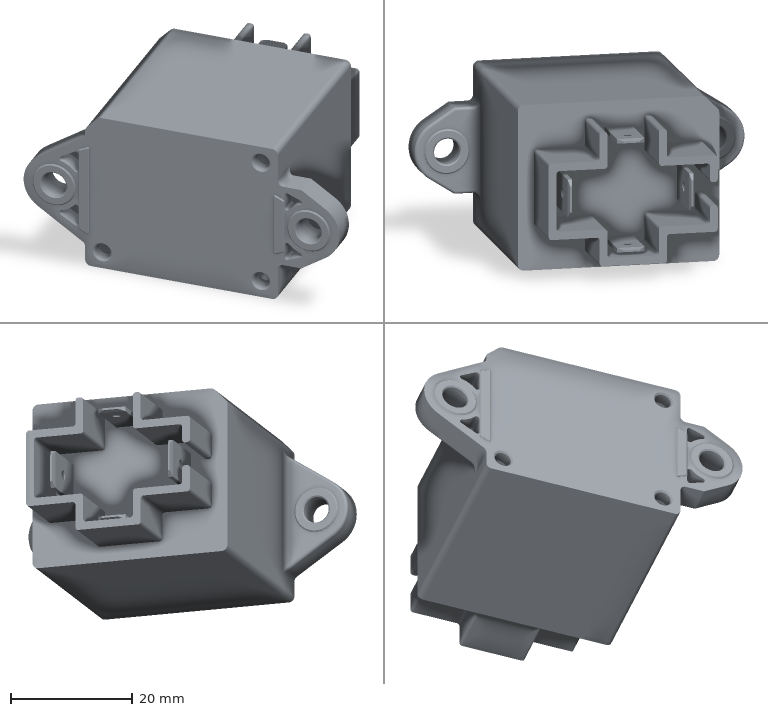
import cadquery as cq
import math


length = 55.8
depth = 44.7
plug_end_y = depth / 2
sleeve_front_y = -depth / 2
front_projection = 0.2
front_y = sleeve_front_y + front_projection
case_back_y = 11.4

case_width = 34.05
case_height = 28.0
corner_radius = 1.0
key_chamfer = 2.5
half_width = case_width / 2
half_height = case_height / 2
pick_margin = 0.1

hole_spacing = 45.0
ear_x = hole_spacing / 2
ear_radius = length / 2 - ear_x
ear_thickness = 4.75
ear_back_y = front_y + ear_thickness
ear_slope = math.radians(33)
ear_half_height_right = 7.3
ear_embed = 1.1
ear_edge_radius = 0.5
ear_root_radius = 1.0

pocket_depth = 3.05
pocket_corner_radius = 0.45
pocket_arc_radius = 4.75
left_pocket_root_z = 7.25
right_pocket_root_z = 6.4

pad_outer_x = 18.2
pad_inner_x = 16.3
pad_edge_chamfer = 0.15
pad_corner_radius = 0.3
left_pad_half_heights = (7.35, 8.25)
right_pad_half_heights = (4.8, 5.65)

front_hole_x = 14.0
front_hole_z = 11.05
front_hole_radius = 1.4
front_hole_depth = 2.25
front_hole_chamfer = 0.3
vent_radius = 0.9
vent_tip_radius = 0.6
vent_depth = 1.1

sleeve_radius = 3.8
sleeve_bore_radius = 2.2
sleeve_length = 5.25
sleeve_chamfer = 0.2

base_width = 30.15
base_height = 24.0
base_thickness = 2.0
wall = 1.35
shroud_half_width = 14.3
shroud_half_height = 11.3
side_slot_half = 1.95
upright_x = 5.7
shelf_z = 6.5
shroud_edge_radius = 0.5

blade_thickness = 0.8
blade_tip_y = 21.35
blade_tip_chamfer = 0.95
blade_tip_bevel = 0.2
side_blade_width = 6.3
side_blade_face_x = 10.65
side_blade_hole_radius = 0.85
side_blade_hole_y = 16.4
cross_blade_width = 4.7
cross_blade_face_z = 9.6
cross_blade_hole_radius = 0.65
cross_blade_hole_y = 18.1


def plane_at(y):
    """Workplane in XZ at the given Y; positive extrusions run toward -Y."""
    return cq.Workplane("XZ", origin=(0, y, 0))


def prism(points, y_back, length_y):
    """Polygon in XZ extruded from y_back toward -Y."""
    return plane_at(y_back).polyline(points).close().extrude(length_y)


def box_along_y(width, height, y_back, length_y):
    """Box centred on the Y axis, extruded from y_back toward -Y."""
    return plane_at(y_back).rect(width, height).extrude(length_y)


def case_block():
    """Rounded block with one keyed corner."""
    block = box_along_y(case_width, case_height, case_back_y, case_back_y - front_y)
    block = block.edges("|Y and <X and >Z").chamfer(key_chamfer)
    return block.edges("|Y").fillet(corner_radius)


def ear(side):
    """Ear with a round end and sides that widen toward the case; side is -1 (left) or +1 (right)."""
    tangent_x = ear_x + ear_radius * math.sin(ear_slope)
    tangent_z = ear_radius * math.cos(ear_slope)
    inner_x = half_width - ear_embed
    inner_z = tangent_z + (tangent_x - inner_x) * math.tan(ear_slope)
    return (
        plane_at(ear_back_y)
        .moveTo(side * inner_x, inner_z)
        .lineTo(side * tangent_x, tangent_z)
        .threePointArc((side * length / 2, 0), (side * tangent_x, -tangent_z))
        .lineTo(side * inner_x, -inner_z)
        .close()
        .extrude(ear_back_y - front_y)
    )


def ear_pocket(side, flip, root_z):
    """Three-sided pocket between the sleeve and the sloping ear edge; flip is +1 above, -1 below."""
    root_u = ear_x - pad_outer_x
    mid_angle = (math.pi / 2 + math.acos(root_u / pocket_arc_radius)) / 2
    arc_mid = (ear_x - pocket_arc_radius * math.cos(mid_angle), pocket_arc_radius * math.sin(mid_angle))
    arc_end = (pad_outer_x, math.sqrt(pocket_arc_radius**2 - root_u**2))
    return (
        plane_at(front_y + pocket_depth)
        .moveTo(side * pad_outer_x, flip * root_z)
        .lineTo(side * ear_x, flip * pocket_arc_radius)
        .threePointArc((side * arc_mid[0], flip * arc_mid[1]), (side * arc_end[0], flip * arc_end[1]))
        .close()
        .extrude(pocket_depth)
        .edges("|Y")
        .fillet(pocket_corner_radius)
    )


def front_pad(side, half_heights):
    """Thin raised pad across the root of an ear, longer on its inner side."""
    outer_z, inner_z = half_heights
    corners = [
        (side * pad_outer_x, outer_z),
        (side * pad_inner_x, inner_z),
        (side * pad_inner_x, -inner_z),
        (side * pad_outer_x, -outer_z),
    ]
    pad = prism(corners, front_y, front_projection)
    pad = pad.edges("|Y").fillet(pad_corner_radius)
    return pad.faces("<Y").edges().chamfer(pad_edge_chamfer)


def front_hole(x, z):
    """Blind hole in the front face with a chamfered mouth."""
    hole = plane_at(front_y + front_hole_depth).center(x, z).circle(front_hole_radius).extrude(front_hole_depth)
    mouth = cq.Solid.makeCone(
        front_hole_radius + front_hole_chamfer,
        front_hole_radius,
        front_hole_chamfer,
        cq.Vector(x, front_y, z),
        cq.Vector(0, 1, 0),
    )
    return hole.union(cq.Workplane(mouth))


def add_ear(case, one_ear, side):
    """Join an ear to the case, then round its root and its back rim."""
    case = case.union(one_ear)
    root_zone = cq.selectors.BoxSelector(
        (side * (half_width - pick_margin), front_y + pick_margin, -half_height + corner_radius),
        (side * (half_width + pick_margin), ear_back_y + pick_margin, half_height - key_chamfer),
    )
    case = case.edges(root_zone).fillet(ear_root_radius)
    rim_zone = cq.selectors.BoxSelector(
        (side * (half_width + ear_root_radius + pick_margin), ear_back_y - pick_margin, -half_height),
        (side * length, ear_back_y + pick_margin, half_height),
    )
    return case.edges(rim_zone).fillet(ear_edge_radius)


def vent_cone():
    """Tapered vent in the floor of the front hole at +X, -Z."""
    floor_centre = cq.Vector(front_hole_x, front_y + front_hole_depth, -front_hole_z)
    cone = cq.Solid.makeCone(vent_radius, vent_tip_radius, vent_depth, floor_centre, cq.Vector(0, 1, 0))
    return cq.Workplane(cone)


def make_case():
    right_trim = box_along_y(length, 2 * ear_half_height_right, ear_back_y, ear_back_y - front_y)
    case = add_ear(case_block(), ear(-1), -1)
    case = add_ear(case, ear(1).intersect(right_trim), 1)

    case = case.union(front_pad(-1, left_pad_half_heights))
    case = case.union(front_pad(1, right_pad_half_heights))
    for flip in (-1, 1):
        case = case.cut(ear_pocket(-1, flip, left_pocket_root_z))
        case = case.cut(ear_pocket(1, flip, right_pocket_root_z))

    for x, z in ((-1, -1), (1, 1), (1, -1)):
        case = case.cut(front_hole(x * front_hole_x, z * front_hole_z))
    case = case.cut(vent_cone())

    sleeve_seats = (
        plane_at(ear_back_y)
        .pushPoints([(-ear_x, 0), (ear_x, 0)])
        .circle(sleeve_radius)
        .extrude(ear_thickness)
    )
    base_recess = box_along_y(base_width, base_height, case_back_y, base_thickness)
    return case.cut(sleeve_seats).cut(base_recess)


def make_sleeve(x):
    """Spacer tube for the mounting screw."""
    sleeve = (
        plane_at(sleeve_front_y + sleeve_length)
        .center(x, 0)
        .circle(sleeve_radius)
        .circle(sleeve_bore_radius)
        .extrude(sleeve_length)
    )
    return sleeve.faces("<Y or >Y").edges().chamfer(sleeve_chamfer)


def cross_prism(inset):
    """Cross-shaped prism of the plug, its outline moved inward by inset."""
    height_y = plug_end_y - case_back_y
    level_arm = box_along_y(
        2 * (shroud_half_width - inset), 2 * (shelf_z - inset), plug_end_y, height_y
    )
    upright_arm = box_along_y(
        2 * (upright_x - inset), 2 * (shroud_half_height - inset), plug_end_y, height_y
    )
    return level_arm.union(upright_arm)


def make_shroud():
    """Cross-shaped wall, open at the upper arm and slotted in the middle of the left arm."""
    shroud = cross_prism(0).cut(cross_prism(wall))
    height_y = plug_end_y - case_back_y
    upper_opening = box_along_y(2 * (upright_x - wall), shroud_half_height, plug_end_y, height_y)
    side_slot = box_along_y(shroud_half_width, 2 * side_slot_half, plug_end_y, height_y)
    shroud = shroud.cut(upper_opening.translate((0, 0, shroud_half_height / 2)))
    shroud = shroud.cut(side_slot.translate((-shroud_half_width / 2, 0, 0)))
    return shroud.edges("|Y").fillet(shroud_edge_radius)


def make_blade(width, hole_radius, hole_y):
    """Flat blade lying in XY with its upper face at Z = 0."""
    root_y = case_back_y - base_thickness
    blade = cq.Workplane("XY").box(
        width, blade_tip_y - root_y, blade_thickness, centered=(True, False, False)
    ).translate((0, root_y, -blade_thickness))
    blade = blade.edges("|Z and >Y").chamfer(blade_tip_chamfer)
    bevel = (
        cq.Workplane("YZ", origin=(-width / 2, 0, 0))
        .moveTo(blade_tip_y - blade_tip_chamfer, 0)
        .lineTo(blade_tip_y, 0)
        .lineTo(blade_tip_y, -blade_tip_bevel)
        .close()
        .extrude(width)
    )
    lower_bevel = bevel.mirror("XY", (0, 0, -blade_thickness / 2))
    hole = cq.Workplane("XY").center(0, hole_y).circle(hole_radius).extrude(-blade_thickness)
    return blade.cut(bevel).cut(lower_bevel).cut(hole)


def make_side_blade(side):
    """Blade at the left (-1) or right (+1) with its flat facing X."""
    blade = make_blade(side_blade_width, side_blade_hole_radius, side_blade_hole_y)
    return blade.rotate((0, 0, 0), (0, 1, 0), side * 90).translate((side * side_blade_face_x, 0, 0))


def make_cross_blade(flip):
    """Blade at the top (+1) or bottom (-1) with its flat facing Z."""
    blade = make_blade(cross_blade_width, cross_blade_hole_radius, cross_blade_hole_y)
    if flip < 0:
        blade = blade.mirror("XY")
    return blade.translate((0, 0, flip * cross_blade_face_z))


def make_base(blades):
    """Plate closing the case, with the plug shroud and a slot for each blade."""
    base = box_along_y(base_width, base_height, case_back_y, base_thickness)
    base = base.union(make_shroud())
    for blade in blades:
        base = base.cut(blade)
    return base


case = make_case()
sleeves = [make_sleeve(side * ear_x) for side in (-1, 1)]
side_blades = [make_side_blade(side) for side in (-1, 1)]
cross_blades = [make_cross_blade(flip) for flip in (-1, 1)]
base = make_base(side_blades + cross_blades)

separate_bodies = [case, base, *sleeves, *side_blades, *cross_blades]
result = cq.Compound.makeCompound([body.val() for body in separate_bodies])